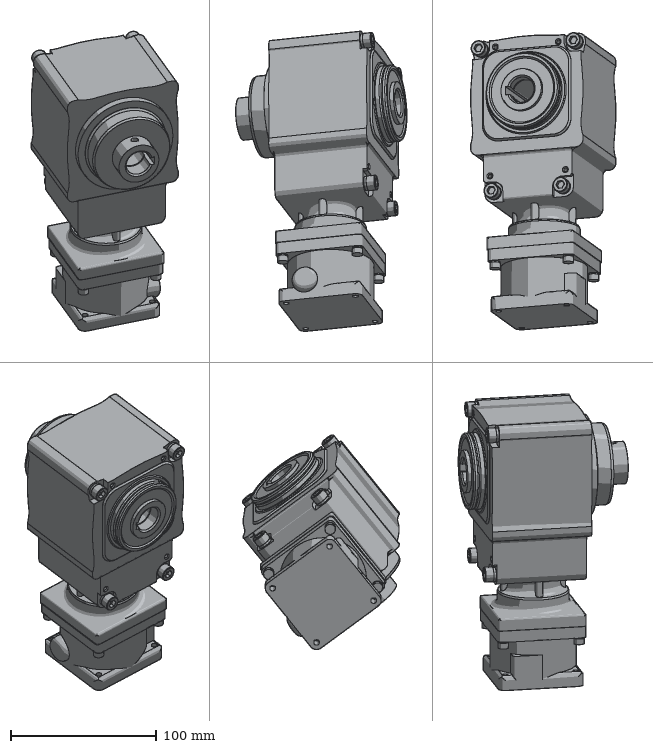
import cadquery as cq

overall_height = 191.0
case_size = 82.0
case_half = case_size / 2
shaft_z = overall_height - case_half

cut_clearance = 2.0

case_back = -37.2
case_front = 32.9
corner_radius = 5.0
rail_inner = 32.9
groove_outer = 31.7
groove_edge = 40.5
groove_middle = (24.8, 39.5)
belly_end = (18.5, 40.0)

box_half_width = 32.3
box_back = -35.3
box_front = 31.0
box_bottom = 75.6
box_corner_radius = 6.5
box_edge_fillet = 1.7
shoulder_height = 3.6

pad_half = 32.3
pad_radius = 12.2
pad_chamfer_width = 1.3
pad_chamfer_depth = 1.1

pad_face = -38.5
cone_face = -39.3
cone_radius = 29.2
cone_chamfer = 0.8
seal_radius = 26.5
seal_lip_radius = 25.8
ring_start = -42.2
ring_groove_start = -44.5
ring_lip = -46.2
seal_face = -47.4
recess_radius = 23.9
recess_floor_radius = 22.7
recess_depth = 1.0
disc_radius = 35.0
disc_face = 38.0
step_radius = 29.8
step_face = 38.4
bearing_radius = 28.5
bearing_start = 39.7
bearing_chamfer_start = 49.0
bearing_face = 51.0
bearing_face_radius = 27.7
shaft_radius = 14.7
shaft_back = -49.0
shaft_front = 64.0
bore_radius = 9.0
bore_chamfer = 1.1
bore_relief_radius = 9.5
bore_land = 9.4
key_depth = 11.5
key_width = 5.7
set_screw_x = 55.8
set_screw_radius = 2.5

upper_screw_offset = 34.5
upper_pocket_radius = 7.5
lower_screw_y = 25.2
lower_screw_z = 82.5
lower_pocket_radius = 7.0
lower_pocket_relief = 1.3
pocket_floor = -32.3
screw_face = -40.0
head_start = -34.0
head_radius = 5.2
head_neck_radius = 5.0
head_chamfer = 0.4
socket_flats = 5.2
socket_depth = 2.9
hexagon_corner_ratio = 2 / 3 ** 0.5

upper_hole_y = 23.0
upper_hole_z = 184.9
lower_hole_y = 27.5
lower_hole_z = 94.0
hole_radius = 1.3
hole_mouth_radius = 2.1
hole_depth = 7.6

neck_radius = 19.0
neck_fillet = 4.8
rib_reach = 23.0
rib_width = 5.2
collar_top = 63.5
collar_bottom = 57.0
collar_radius = 24.8
collar_chamfer = 0.5
collar_chamfer_height = 1.3
flange_top = 52.1

joint_z = 43.2
gear_flange_x = 61.9
gear_flange_y = 63.5
gear_flange_radius = 2.0
gear_flange_fillet = 1.7
motor_flange_size = 62.3
motor_flange_bottom = 35.0
motor_flange_radius = 3.2

base_size = 59.8
barrel_radius = base_size / 2
base_radius = 5.0
base_edge_z = 6.5
base_top = 10.1
base_inset = 2.7
base_hole_offset = 24.8
base_hole_radius = 2.0
block_left = -20.5
block_right = 0.4
block_top = 24.0
block_fillet = 2.7
flange_screw_offset = 26.7
flange_screw_radius = 3.6
flange_screw_neck_radius = 3.5
flange_screw_neck_z = 34.0
flange_screw_bottom = 30.0
plug_z = 14.0
plug_x = 10.0
plug_radius = 9.0
plug_end = 34.2
plug_fillet = 3.8


def rod(x_start, x_end, radius, y=0.0, z=shaft_z):
    """Cylinder along X."""
    return cq.Workplane("YZ", origin=(x_start, y, z)).circle(radius).extrude(x_end - x_start)


def bar(x_range, y_range, z_range):
    """Box between pairs of coordinates."""
    size = [end - start for start, end in (x_range, y_range, z_range)]
    corner = (x_range[0], y_range[0], z_range[0])
    return cq.Workplane("XY").box(*size, centered=False).translate(corner)


def square_prism(size_x, size_y, z_start, z_end, radius):
    """Upright block with rounded vertical edges."""
    block = cq.Workplane("XY", origin=(0, 0, z_start)).rect(size_x, size_y).extrude(z_end - z_start)
    return block.edges("|Z").fillet(radius)


def crowned_block(size_x, size_y, z_start, z_end, corner, edge_inset, edge_height):
    """Block with rounded vertical edges whose rounded top edges meet in mitres."""
    rim_radius = (edge_inset**2 + edge_height**2) / (2 * edge_inset)
    bend_height = edge_height / 2
    bend_inset = rim_radius - (rim_radius**2 - bend_height**2) ** 0.5
    edge_z = z_end - edge_height
    block = square_prism(size_x, size_y, z_start, z_end, corner)
    for plane, width, length in (("XZ", size_x, size_y), ("YZ", size_y, size_x)):
        half = width / 2
        section = (
            cq.Workplane(plane)
            .moveTo(-half, z_start)
            .hLine(width)
            .lineTo(half, edge_z)
            .threePointArc((half - bend_inset, edge_z + bend_height), (half - edge_inset, z_end))
            .lineTo(edge_inset - half, z_end)
            .threePointArc((bend_inset - half, edge_z + bend_height), (-half, edge_z))
            .close()
            .extrude(length / 2, both=True)
        )
        block = block.intersect(section)
    return block


def quarter_turn(point, turns):
    """Turn a point by a number of quarter turns about the origin."""
    across, up = point
    for _ in range(turns):
        across, up = -up, across
    return across, up


def case_prism():
    """Square case with rounded corners, a shallow groove beside each corner and bulged sides."""
    corner_centre = case_half - corner_radius
    corner_middle = corner_centre + corner_radius / 2 ** 0.5
    middle_across, middle_depth = groove_middle
    belly_across, belly_depth = belly_end
    outline = cq.Workplane("YZ", origin=(case_back, 0, shaft_z)).moveTo(case_half, -corner_centre)
    for turns in range(4):
        def place(across, up):
            return quarter_turn((across, up), turns)

        outline = (
            outline.lineTo(*place(case_half, -rail_inner))
            .lineTo(*place(groove_edge, -groove_outer))
            .threePointArc(place(middle_depth, -middle_across), place(belly_depth, -belly_across))
            .threePointArc(place(case_half, 0), place(belly_depth, belly_across))
            .threePointArc(place(middle_depth, middle_across), place(groove_edge, groove_outer))
            .lineTo(*place(case_half, rail_inner))
            .lineTo(*place(case_half, corner_centre))
            .threePointArc(place(corner_middle, corner_middle), place(corner_centre, case_half))
        )
    return outline.close().extrude(case_front - case_back)


def lower_box():
    """Box under the case, with a flared shoulder where it meets the case."""
    case_bottom = shaft_z - case_half
    height = shaft_z - box_bottom
    width = 2 * box_half_width
    box = bar((box_back, box_front), (-box_half_width, box_half_width), (box_bottom, box_bottom + height))
    rounded_ends = box.edges("|Y and <Z").fillet(box_edge_fillet)
    box = box.edges("|X and <Z").fillet(box_corner_radius).intersect(rounded_ends)

    depth = shoulder_height
    bend = depth * (1 - 0.5 ** 0.5)
    flare = (
        cq.Workplane("YZ", origin=(box_back, 0, case_bottom))
        .moveTo(-box_half_width - depth, 0)
        .threePointArc((-box_half_width - bend, -bend), (-box_half_width, -depth))
        .hLine(width)
        .threePointArc((box_half_width + bend, -bend), (box_half_width + depth, 0))
        .close()
        .extrude(box_front - box_back)
    )
    step = box_back - case_back
    lip_height = case_half - belly_end[1] + step
    step_bend = step * (1 - 0.5 ** 0.5)
    lip = (
        cq.Workplane("XZ", origin=(0, box_half_width, case_bottom))
        .moveTo(box_back - step, 0)
        .threePointArc((box_back - step_bend, -step_bend), (box_back, -step))
        .hLine(box_front - box_back)
        .threePointArc((box_front + step_bend, -step_bend), (box_front + step, 0))
        .vLine(lip_height)
        .hLine(case_back - case_front)
        .close()
        .extrude(width)
    )
    return box.union(flare).union(lip)


def back_pad():
    """Chamfered square pad around the output shaft."""
    pad = cq.Workplane("YZ", origin=(case_back, 0, shaft_z)).rect(2 * pad_half, 2 * pad_half)
    pad = pad.extrude(pad_face - case_back).edges("|X").fillet(pad_radius)
    return pad.faces("<X").chamfer(pad_chamfer_depth, pad_chamfer_width)


def output_bosses():
    """Seal boss, bearing boss and shaft, turned about the output axis."""
    profile = [
        (shaft_back, 0),
        (shaft_back, shaft_radius),
        (seal_face + recess_depth, shaft_radius),
        (seal_face + recess_depth, recess_floor_radius),
        (seal_face, recess_radius),
        (seal_face, seal_lip_radius),
        (ring_lip, seal_radius),
        (ring_groove_start, seal_radius),
        ((ring_groove_start + ring_start) / 2, seal_lip_radius),
        (ring_start, seal_radius),
        (cone_face, seal_radius),
        (cone_face, cone_radius - cone_chamfer),
        (cone_face + cone_chamfer, cone_radius),
        (case_front, cone_radius),
        (case_front, disc_radius),
        (disc_face, disc_radius),
        (disc_face, step_radius),
        (step_face, step_radius),
        (bearing_start, bearing_radius),
        (bearing_chamfer_start, bearing_radius),
        (bearing_face, bearing_face_radius),
        (bearing_face, shaft_radius),
        (shaft_front, shaft_radius),
        (shaft_front, 0),
    ]
    bosses = cq.Workplane("XY").polyline(profile).close().revolve(360, (0, 0, 0), (1, 0, 0))
    return bosses.translate((0, 0, shaft_z))


def shaft_bore():
    """Relieved through bore with chamfered mouths, a keyway on the +Y side and a set screw hole on top."""
    mouth = bore_radius + bore_chamfer
    profile = [
        (shaft_back, 0),
        (shaft_back, mouth),
        (shaft_back + bore_chamfer, bore_radius),
        (shaft_back + bore_land, bore_radius),
        (shaft_back + bore_land, bore_relief_radius),
        (bearing_face, bore_relief_radius),
        (bearing_face, bore_radius),
        (shaft_front - bore_chamfer, bore_radius),
        (shaft_front, mouth),
        (shaft_front, 0),
    ]
    bore = cq.Workplane("XY").polyline(profile).close().revolve(360, (0, 0, 0), (1, 0, 0))
    bore = bore.translate((0, 0, shaft_z))
    key_z = (shaft_z - key_width / 2, shaft_z + key_width / 2)
    keyway = bar((shaft_back, shaft_front), (0, key_depth), key_z)
    set_screw = cq.Workplane("XY", origin=(set_screw_x, 0, shaft_z)).circle(set_screw_radius)
    return bore.union(keyway).union(set_screw.extrude(shaft_radius + cut_clearance))


def screw_pocket(y, z, radius, up):
    """Recess round a cover screw, open toward the nearest corner of the back face."""
    reach = 2 * radius
    side = 1 if y > 0 else -1
    x_range = (case_back - cut_clearance, pocket_floor)
    y_inner = y - side * radius
    y_outer = y + side * reach
    z_outer = z + up * reach
    z_inner = z - up * radius
    pocket = rod(*x_range, radius, y, z)
    pocket = pocket.union(bar(x_range, sorted((y_inner, y_outer)), sorted((z, z_outer))))
    return pocket.union(bar(x_range, sorted((y, y_outer)), sorted((z_inner, z_outer))))


def lower_pocket(side):
    """Recess round a lower cover screw, with its upper outer corner broken."""
    pocket = screw_pocket(side * lower_screw_y, lower_screw_z, lower_pocket_radius, -1)
    relief_z = lower_screw_z + lower_pocket_radius
    relief = (
        cq.Workplane("YZ", origin=(pocket_floor, side * box_half_width, relief_z))
        .polyline([(-side * lower_pocket_relief, 0), (0, lower_pocket_relief), (0, 0)])
        .close()
        .extrude(case_back - pocket_floor)
    )
    return pocket.union(relief)


def cover_screw(y, z):
    """Cap screw with a hexagon socket, standing on the pocket floor."""
    head = rod(screw_face, head_start, head_radius, y, z).faces("<X").chamfer(head_chamfer)
    screw = rod(head_start, pocket_floor, head_neck_radius, y, z).union(head)
    socket = cq.Workplane("YZ", origin=(screw_face, y, z))
    return screw.cut(socket.polygon(6, socket_flats * hexagon_corner_ratio).extrude(socket_depth))


def threaded_hole(face_x, y, z):
    """Blind hole along X with a countersunk mouth."""
    sink = hole_mouth_radius - hole_radius
    profile = [
        (0, 0),
        (0, hole_mouth_radius),
        (sink, hole_radius),
        (hole_depth, hole_radius),
        (hole_depth, 0),
    ]
    hole = cq.Workplane("XY").polyline(profile).close().revolve(360, (0, 0, 0), (1, 0, 0))
    return hole.translate((face_x, y, z))


def neck_and_collar():
    """Turned neck with flared ends, the collar below it and the flare onto the flange."""
    bend = neck_fillet * (1 - 0.5 ** 0.5)
    flare = collar_bottom - flange_top
    flare_bend = flare * (1 - 0.5 ** 0.5)
    neck = (
        cq.Workplane("XZ")
        .moveTo(0, joint_z)
        .lineTo(collar_radius, joint_z)
        .lineTo(collar_radius + flare, flange_top)
        .threePointArc((collar_radius + flare_bend, flange_top + flare_bend), (collar_radius, collar_bottom))
        .lineTo(collar_radius, collar_top - collar_chamfer_height)
        .lineTo(collar_radius - collar_chamfer, collar_top)
        .lineTo(neck_radius + neck_fillet, collar_top)
        .threePointArc((neck_radius + bend, collar_top + bend), (neck_radius, collar_top + neck_fillet))
        .lineTo(neck_radius, box_bottom - neck_fillet)
        .threePointArc((neck_radius + bend, box_bottom - bend), (neck_radius + neck_fillet, box_bottom))
        .lineTo(0, box_bottom)
        .close()
        .revolve(360, (0, 0, 0), (0, 1, 0))
    )
    height = box_bottom - collar_top
    for angle in (0, 90):
        rib = cq.Workplane("XY", origin=(0, 0, collar_top)).slot2D(2 * rib_reach, rib_width).extrude(height)
        neck = neck.union(rib.rotate((0, 0, 0), (0, 0, 1), angle))
    return neck


def gear_flange():
    """Square flange at the bottom of the gear unit."""
    edge = gear_flange_fillet
    return crowned_block(gear_flange_x, gear_flange_y, joint_z, flange_top, gear_flange_radius, edge, edge)


def make_gear_unit():
    """Right-angle gear case with hollow shaft, cover screws, neck and upper flange."""
    unit = case_prism().union(lower_box()).union(back_pad())
    for side in (-1, 1):
        upper_screw = (side * upper_screw_offset, shaft_z + upper_screw_offset)
        unit = unit.cut(screw_pocket(*upper_screw, upper_pocket_radius, 1))
        unit = unit.cut(lower_pocket(side))
        unit = unit.union(cover_screw(*upper_screw))
        unit = unit.union(cover_screw(side * lower_screw_y, lower_screw_z))
        unit = unit.cut(threaded_hole(case_back, side * upper_hole_y, upper_hole_z))
        unit = unit.cut(threaded_hole(box_back, side * lower_hole_y, lower_hole_z))
    unit = unit.union(output_bosses()).cut(shaft_bore())
    return unit.union(neck_and_collar()).union(gear_flange())


def base_plate():
    """Square foot with a rounded rim."""
    rim_height = base_top - base_edge_z
    return crowned_block(base_size, base_size, 0, base_top, base_radius, base_inset, rim_height)


def side_block():
    """Flat-faced block on the -Y side of the barrel."""
    block = bar((block_left, block_right), (-barrel_radius, 0), (0, block_top))
    return block.edges("|Z and <X and <Y").fillet(block_fillet)


def plug():
    """Round-edged plug on the +Y side of the barrel."""
    disc = cq.Workplane("XZ", origin=(plug_x, plug_end, plug_z)).circle(plug_radius).extrude(plug_end)
    return disc.faces(">Y").edges().fillet(plug_fillet)


def flange_screw(x, y):
    """Screw head under the motor flange."""
    neck = cq.Workplane("XY", origin=(x, y, flange_screw_neck_z)).circle(flange_screw_neck_radius)
    head = cq.Workplane("XY", origin=(x, y, flange_screw_bottom)).circle(flange_screw_radius)
    head = head.extrude(flange_screw_neck_z - flange_screw_bottom)
    return head.union(neck.extrude(motor_flange_bottom - flange_screw_neck_z))


def make_motor_adapter():
    """Lower flange, barrel and foot that carry the motor."""
    adapter = base_plate()
    adapter = adapter.union(cq.Workplane("XY").circle(barrel_radius).extrude(joint_z))
    adapter = adapter.union(side_block()).union(plug())
    adapter = adapter.union(
        square_prism(motor_flange_size, motor_flange_size, motor_flange_bottom, joint_z, motor_flange_radius)
    )
    for x_side in (-1, 1):
        for y_side in (-1, 1):
            adapter = adapter.union(flange_screw(x_side * flange_screw_offset, y_side * flange_screw_offset))
            hole = cq.Workplane("XY", origin=(x_side * base_hole_offset, y_side * base_hole_offset, 0))
            adapter = adapter.cut(hole.circle(base_hole_radius).extrude(base_top))
    return adapter


gear_unit = make_gear_unit()
motor_adapter = make_motor_adapter()
result = cq.Compound.makeCompound([gear_unit.solids().val(), motor_adapter.solids().val()])